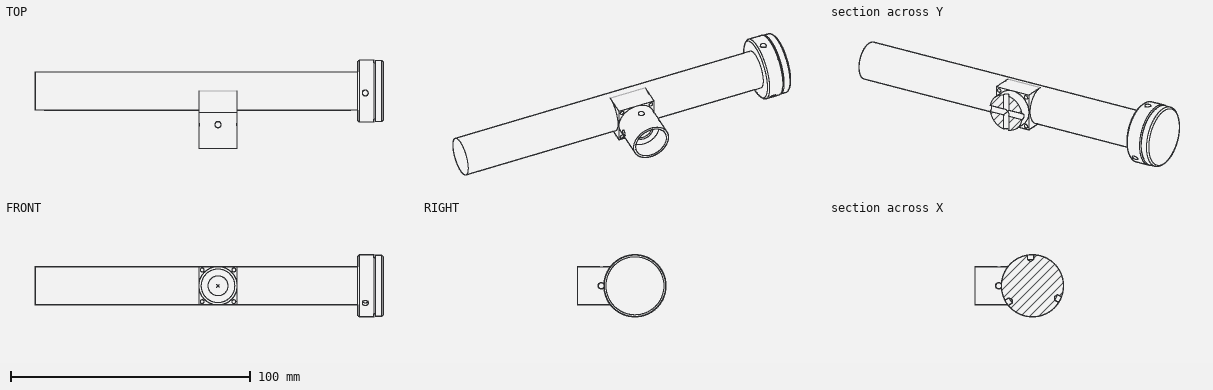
import cadquery as cq
import math

total_length = 145.2
tube_diameter = 16.0

collar_diameter = 26.0
rim_diameter = 25.6
groove_diameter = 23.5
head_length = 10.7
collar_length = 6.7
groove_width = 0.7
collar_chamfer = 0.7
rim_chamfer = 0.7
head_start = total_length - head_length

set_screw_count = 3
set_screw_diameter = 2.5
set_screw_depth = 2.0
set_screw_x = 137.65
set_screw_turn = 3.7

drill_point_angle = 118.0

branch_x = 76.25
block_reach = 9.0
socket_reach = 24.0
socket_bore_diameter = 14.0
socket_floor_reach = 16.5
cross_hole_diameter = 2.5
cross_hole_reach = 14.0

recess_diameter = 8.3
recess_depth = 1.0

corner_hole_spacing = 13.2
corner_hole_diameter = 1.6
corner_hole_depth = 3.0


def cylinder_x(diameter, start, length):
    return cq.Workplane("YZ", origin=(start, 0, 0)).circle(diameter / 2).extrude(length)


def make_drill(diameter, depth):
    """Drill shape centred on Z: shank bottom at Z = 0, pointed tip below it, reaching up by depth."""
    radius = diameter / 2
    tip_length = radius / math.tan(math.radians(drill_point_angle / 2))
    return (
        cq.Workplane("XZ")
        .moveTo(0, -tip_length)
        .lineTo(radius, 0)
        .lineTo(radius, depth)
        .lineTo(0, depth)
        .close()
        .revolve(360, (0, 0, 0), (0, 1, 0))
    )


def branch_face(reach):
    """Workplane square to the branch axis, facing -Y, at the given distance from the tube axis."""
    return cq.Workplane("XZ", origin=(branch_x, -reach, 0))


def make_head():
    groove_start = head_start + collar_length
    rim_start = groove_start + groove_width
    collar = cylinder_x(collar_diameter, head_start, collar_length)
    collar = collar.faces("<X").chamfer(collar_chamfer)
    groove = cylinder_x(groove_diameter, groove_start, groove_width)
    rim = cylinder_x(rim_diameter, rim_start, total_length - rim_start)
    rim = rim.faces(">X").chamfer(rim_chamfer)
    return collar.union(groove).union(rim)


def make_set_screw_holes():
    hole_bottom = collar_diameter / 2 - set_screw_depth
    drill = make_drill(set_screw_diameter, 2 * set_screw_depth)
    hole = drill.translate((set_screw_x, 0, hole_bottom))
    holes = cq.Workplane("XY")
    for index in range(set_screw_count):
        angle = set_screw_turn + index * 360 / set_screw_count
        holes = holes.add(hole.rotate((0, 0, 0), (1, 0, 0), angle))
    return holes.combine()


def make_branch():
    block = branch_face(0).rect(tube_diameter, tube_diameter).extrude(block_reach)
    socket = branch_face(0).circle(tube_diameter / 2).extrude(socket_reach)
    return block.union(socket)


def make_socket_bore():
    bore = (
        branch_face(socket_floor_reach)
        .circle(socket_bore_diameter / 2)
        .extrude(socket_reach - socket_floor_reach)
    )
    recess = (
        branch_face(socket_floor_reach - recess_depth)
        .circle(recess_diameter / 2)
        .extrude(recess_depth)
    )
    return bore.union(recess)


def make_cross_holes():
    vertical = (
        cq.Workplane("XY", origin=(branch_x, -cross_hole_reach, 0))
        .circle(cross_hole_diameter / 2)
        .extrude(tube_diameter, both=True)
    )
    lengthwise = (
        cq.Workplane("YZ", origin=(branch_x, -cross_hole_reach, 0))
        .circle(cross_hole_diameter / 2)
        .extrude(tube_diameter, both=True)
    )
    return vertical.union(lengthwise)


def make_corner_holes():
    drill = make_drill(corner_hole_diameter, corner_hole_depth).rotate((0, 0, 0), (1, 0, 0), 90)
    offset = corner_hole_spacing / 2
    holes = cq.Workplane("XY")
    for x in (branch_x - offset, branch_x + offset):
        for z in (-offset, offset):
            holes = holes.add(drill.translate((x, corner_hole_depth - block_reach, z)))
    return holes.combine()


tube = cylinder_x(tube_diameter, 0, total_length - rim_chamfer)
body = tube.union(make_head()).union(make_branch())
result = (
    body.cut(make_set_screw_holes())
    .cut(make_socket_bore())
    .cut(make_cross_holes())
    .cut(make_corner_holes())
)